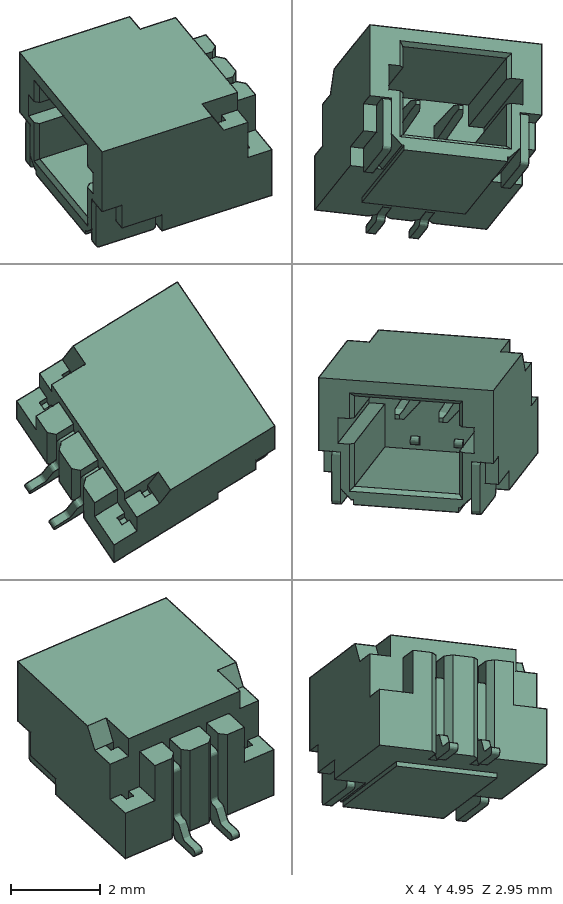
import cadquery as cq
import math


WIDTH = 4.0
DEPTH = 4.255
TOP_Z = 2.95
BASE_Z = 0.15

PAD_Z = 0.04
PAD_WIDTH = 2.405
PAD_LENGTH = 3.26

CAVITY_WIDTH = PAD_WIDTH
CAVITY_BOTTOM_Z = 0.44
CAVITY_TOP_Z = 2.555
CAVITY_DEPTH = 3.0
CAVITY_CHAMFER = 0.095
KEYWAY_WIDTH = 3.12
KEYWAY_HEIGHT = 0.6

STEP_Y = 3.655
BRIDGE_Z = 2.45
BRIDGE_WIDTH = PAD_WIDTH
LOW_STEP_Z = 1.45
SHOULDER_INNER_X = 1.5
SHOULDER_Y = 3.05
SHOULDER_SLOPE = 60
POCKET_LENGTH = 0.2
POCKET_DEPTH = 0.295
FLARE = 0.15

PITCH = 1.0
TERMINAL_THICK = 0.2
PIN_Z = 1.745
PIN_ROOT_HEIGHT = 0.415
PIN_NECK_HEIGHT = 0.23
PIN_TIP_SIZE = 0.1
PIN_TAPER_LENGTH = 1.535
PIN_POINT_LENGTH = 0.2
WEB_BACK_Y = 4.11
PRONG_HEIGHT = 0.2
HEEL_Z = 0.55
FOOT_END_Y = 4.95
FOOT_THICK = 0.2
FOOT_LENGTH = 0.79
LEG_BEND_Y = 4.51
LEG_SLOPE = 60
BEND_RADIUS = 0.1
TOE_RADIUS = 0.09
UNDERSIDE_RADIUS = 0.15

NAIL_THICK = 0.2
NAIL_INNER_X = SHOULDER_INNER_X
NAIL_TOP_Z = 1.245
NAIL_ARM_Z = 0.6
NAIL_UPRIGHT_LENGTH = 0.5
NAIL_LENGTH = 1.5
NAIL_RADIUS = 0.1
CORNER_NOTCH = 0.248

SIDES = (-1, 1)
TERMINAL_XS = (-PITCH / 2, PITCH / 2)


def box(x0, x1, y0, y1, z0, z1):
    """Box between two opposite corners."""
    return cq.Workplane("XY").box(x1 - x0, y1 - y0, z1 - z0, centered=False).translate((x0, y0, z0))


def centred_box(width, y0, y1, z0, z1):
    """Box centred on X = 0."""
    return box(-width / 2, width / 2, y0, y1, z0, z1)


def side_box(side, inner_x, outer_x, y0, y1, z0, z1):
    """Box between two distances from X = 0, on the chosen side."""
    x0, x1 = sorted((side * inner_x, side * outer_x))
    return box(x0, x1, y0, y1, z0, z1)


def plate(points, x0, x1):
    """Upright plate from a (Y, Z) outline, between two X positions."""
    return cq.Workplane("YZ").polyline(points).close().extrude(x1 - x0).translate((x0, 0, 0))


def fillet_edges(body, corners, radius, x):
    """Round the X-direction edges that pass through the given (Y, Z) corners."""
    for y, z in corners:
        body = body.edges(cq.selectors.NearestToPointSelector((x, y, z))).fillet(radius)
    return body


def side_plate(points, side, inner_x, outer_x):
    """Upright plate from a (Y, Z) outline, between two distances from X = 0 on one side."""
    x0, x1 = sorted((side * inner_x, side * outer_x))
    return plate(points, x0, x1)


def make_cavity():
    """Chamfered mating cavity with a keyway along both side walls."""
    height = CAVITY_TOP_Z - CAVITY_BOTTOM_Z
    mid_z = (CAVITY_TOP_Z + CAVITY_BOTTOM_Z) / 2
    cavity = centred_box(CAVITY_WIDTH, 0, CAVITY_DEPTH, CAVITY_BOTTOM_Z, CAVITY_TOP_Z)
    mouth = (
        cq.Workplane("XZ", origin=(0, 0, mid_z))
        .rect(CAVITY_WIDTH + 2 * CAVITY_CHAMFER, height + 2 * CAVITY_CHAMFER)
        .workplane(offset=-CAVITY_CHAMFER)
        .rect(CAVITY_WIDTH, height)
        .loft(ruled=True)
    )
    keyway = centred_box(
        KEYWAY_WIDTH, 0, CAVITY_DEPTH, PIN_Z - KEYWAY_HEIGHT / 2, PIN_Z + KEYWAY_HEIGHT / 2
    )
    return cavity.union(mouth).union(keyway)


def make_pocket(side, y, z):
    """Blind pocket in line with a nail, sunk from a step at height z and starting at y."""
    outer_x = NAIL_INNER_X + NAIL_THICK
    return side_box(side, NAIL_INNER_X, outer_x, y, y + POCKET_LENGTH, z - POCKET_DEPTH, z)


def make_shoulder_cut(side):
    """Sloped step down at a rear top corner, with a small pocket at its foot."""
    rise = TOP_Z - BRIDGE_Z
    run = rise / math.tan(math.radians(SHOULDER_SLOPE))
    outline = [
        (SHOULDER_Y, BRIDGE_Z),
        (DEPTH, BRIDGE_Z),
        (DEPTH, TOP_Z),
        (SHOULDER_Y - run, TOP_Z),
    ]
    step = side_plate(outline, side, SHOULDER_INNER_X, WIDTH / 2)
    return step.union(make_pocket(side, SHOULDER_Y, BRIDGE_Z))


def make_low_step_cut(side):
    """Low step beside the rear bridge, with a small pocket at its foot."""
    step = side_box(side, BRIDGE_WIDTH / 2, WIDTH / 2, STEP_Y, DEPTH, LOW_STEP_Z, TOP_Z)
    return step.union(make_pocket(side, STEP_Y, LOW_STEP_Z))


def make_nail_recess(side):
    """L-shaped corner recess for a nail, with a triangular notch on its inner side."""
    recess = side_plate(nail_outline(), side, NAIL_INNER_X, WIDTH / 2)
    notch = (
        cq.Workplane("XZ")
        .polyline([
            (side * NAIL_INNER_X, BASE_Z),
            (side * NAIL_INNER_X, BASE_Z + CORNER_NOTCH),
            (side * (NAIL_INNER_X - CORNER_NOTCH), BASE_Z),
        ])
        .close()
        .extrude(-NAIL_LENGTH)
    )
    return recess.union(notch)


def make_terminal_slot(x):
    """Slot down the rear of the housing, flared at 45 degrees where it opens."""
    half = TERMINAL_THICK / 2
    return (
        cq.Workplane("XY", origin=(x, 0, BASE_Z))
        .polyline([
            (-half, STEP_Y),
            (-half, DEPTH - FLARE),
            (-half - FLARE, DEPTH),
            (half + FLARE, DEPTH),
            (half, DEPTH - FLARE),
            (half, STEP_Y),
        ])
        .close()
        .extrude(BRIDGE_Z - BASE_Z)
    )


def make_housing(terminals):
    """Housing block with its pad, cavity, rear steps, and the spaces the other bodies fill."""
    body = centred_box(WIDTH, 0, DEPTH, BASE_Z, TOP_Z)
    body = body.union(centred_box(PAD_WIDTH, 0, PAD_LENGTH, PAD_Z, BASE_Z))
    body = body.cut(make_cavity())
    body = body.cut(centred_box(BRIDGE_WIDTH, STEP_Y, DEPTH, BRIDGE_Z, TOP_Z))
    for side in SIDES:
        body = body.cut(make_shoulder_cut(side))
        body = body.cut(make_low_step_cut(side))
        body = body.cut(make_nail_recess(side))
    for x in TERMINAL_XS:
        body = body.cut(make_terminal_slot(x))
    for terminal in terminals:
        body = body.cut(terminal)
    return body


def make_pin():
    """Tapered pin with a pyramid point, reaching from the web into the cavity."""
    neck_y = CAVITY_DEPTH - PIN_TAPER_LENGTH
    half_root = PIN_ROOT_HEIGHT / 2
    half_neck = PIN_NECK_HEIGHT / 2
    half_thick = TERMINAL_THICK / 2
    shank = plate(
        [
            (neck_y, PIN_Z - half_neck),
            (CAVITY_DEPTH, PIN_Z - half_root),
            (STEP_Y, PIN_Z - half_root),
            (STEP_Y, PIN_Z + half_root),
            (CAVITY_DEPTH, PIN_Z + half_root),
            (neck_y, PIN_Z + half_neck),
        ],
        -half_thick, half_thick,
    )
    point = (
        cq.Workplane("XZ", origin=(0, neck_y, PIN_Z))
        .rect(TERMINAL_THICK, PIN_NECK_HEIGHT)
        .workplane(offset=PIN_POINT_LENGTH)
        .rect(PIN_TIP_SIZE, PIN_TIP_SIZE)
        .loft(ruled=True)
    )
    return shank.union(point)


def make_prong():
    """Round-ended prong that passes through the cavity's back wall."""
    radius = PRONG_HEIGHT / 2
    return (
        cq.Workplane("YZ", origin=(-TERMINAL_THICK / 2, 0, 0))
        .moveTo(STEP_Y, HEEL_Z)
        .lineTo(CAVITY_DEPTH, HEEL_Z)
        .threePointArc((CAVITY_DEPTH - radius, HEEL_Z + radius), (CAVITY_DEPTH, HEEL_Z + PRONG_HEIGHT))
        .lineTo(STEP_Y, HEEL_Z + PRONG_HEIGHT)
        .close()
        .extrude(TERMINAL_THICK)
    )


def make_web_and_foot():
    """Upright web that slopes out at its lower end into a solder foot."""
    slope = math.tan(math.radians(LEG_SLOPE))
    web_top = (WEB_BACK_Y, PIN_Z + PIN_ROOT_HEIGHT / 2)
    web_foot = (WEB_BACK_Y, HEEL_Z)
    leg_top = (LEG_BEND_Y - (HEEL_Z - FOOT_THICK) / slope, HEEL_Z)
    leg_foot = (LEG_BEND_Y, FOOT_THICK)
    sole_back = (FOOT_END_Y - FOOT_LENGTH, 0)
    underside = (sole_back[0] - BASE_Z / slope, BASE_Z)
    toe_top = (FOOT_END_Y, FOOT_THICK)
    toe_bottom = (FOOT_END_Y, 0)
    outline = [
        (STEP_Y, BASE_Z),
        (STEP_Y, web_top[1]),
        web_top,
        web_foot,
        leg_top,
        leg_foot,
        toe_top,
        toe_bottom,
        sole_back,
        underside,
    ]
    body = plate(outline, -TERMINAL_THICK / 2, TERMINAL_THICK / 2)
    bends = [web_top, web_foot, leg_top, leg_foot, sole_back]
    body = fillet_edges(body, [toe_top, toe_bottom], TOE_RADIUS, 0)
    body = fillet_edges(body, [underside], UNDERSIDE_RADIUS, 0)
    return fillet_edges(body, bends, BEND_RADIUS, 0)


def make_terminal(x):
    """One terminal, centred at x."""
    return make_web_and_foot().union(make_pin()).union(make_prong()).translate((x, 0, 0))


def nail_outline():
    """L-shaped (Y, Z) outline shared by a nail and its recess."""
    return [
        (0, 0),
        (0, NAIL_TOP_Z),
        (NAIL_UPRIGHT_LENGTH, NAIL_TOP_Z),
        (NAIL_UPRIGHT_LENGTH, NAIL_ARM_Z),
        (NAIL_LENGTH, NAIL_ARM_Z),
        (NAIL_LENGTH, 0),
    ]


def make_nail(side):
    """Flat nail with its three exposed corners rounded."""
    nail = side_plate(nail_outline(), side, NAIL_INNER_X, NAIL_INNER_X + NAIL_THICK)
    mid_x = side * (NAIL_INNER_X + NAIL_THICK / 2)
    corners = [(0, 0), (0, NAIL_TOP_Z), (NAIL_LENGTH, 0)]
    return fillet_edges(nail, corners, NAIL_RADIUS, mid_x)


terminals = [make_terminal(x) for x in TERMINAL_XS]
nails = [make_nail(side) for side in SIDES]
housing = make_housing(terminals)

result = cq.Compound.makeCompound(
    [housing.val(), *[terminal.val() for terminal in terminals], *[nail.val() for nail in nails]]
)